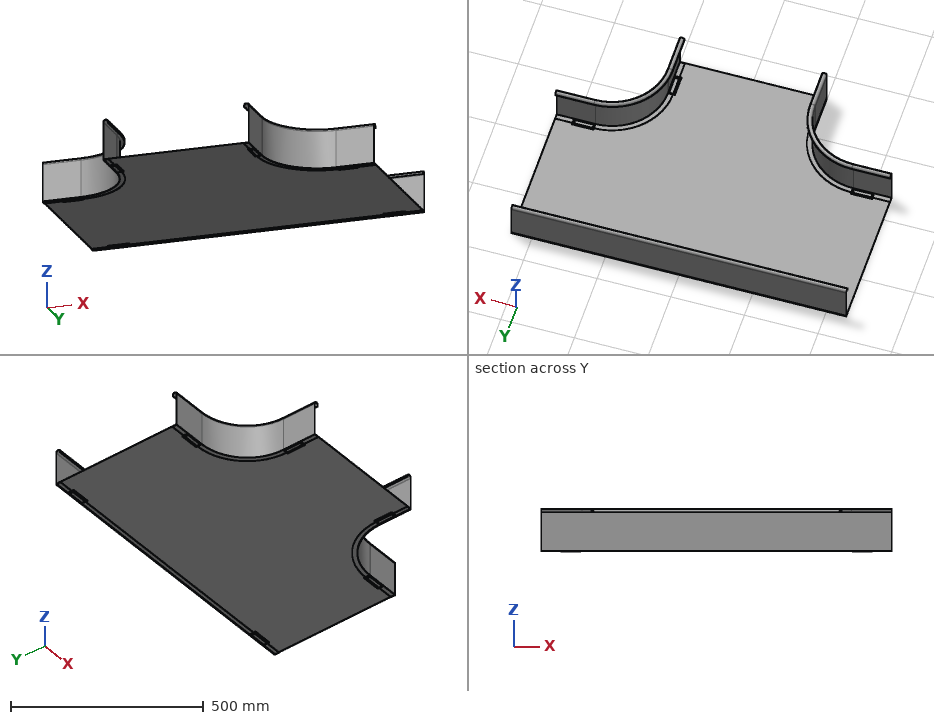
import cadquery as cq
import math

channel_width = 400.0
arm_length = 105.0
bend_radius = 150.0
sheet = 1.2
overall_height = 112.0

curl_radius = 6.8
lip_length = 3.0
flange_width = 15.0

tongue_length = 50.0
tongue_end = 3.0
tongue_step = 3.0
slot_length = 58.0
slot_inner = 4.0
slot_outer = 20.0
tongue_center = 76.0

half_width = channel_width / 2
branch_length = bend_radius + arm_length
end_x = half_width + branch_length
end_y = -end_x
arc_center = half_width + bend_radius
wall_top = overall_height - sheet
floor_top = 2 * sheet
step_foot = slot_outer - tongue_step


class Run:
    """A straight wall run: where it starts, its length, its travel direction and its inward side."""

    def __init__(self, start, length, travel, inward):
        self.start = cq.Vector(*start, 0)
        self.length = length
        self.travel = cq.Vector(*travel, 0)
        self.inward = cq.Vector(*inward, 0)

    def section(self, distance=0.0):
        """Workplane across the run: local x points inward, local y up, normal along the travel."""
        origin = self.start + self.travel * distance
        return cq.Workplane(cq.Plane(origin, self.inward, self.travel))


back_run = Run((end_x, half_width), 2 * end_x, (-1, 0), (0, -1))
through_run = Run((-end_x, -half_width), arm_length, (1, 0), (0, 1))
branch_run = Run((-half_width, -arc_center), arm_length, (0, -1), (1, 0))

back_tongues = [tongue_center, back_run.length - tongue_center]
through_tongues = [tongue_center]
branch_tongues = [arm_length - tongue_center]


def wall_profile(section):
    """Flange under the floor, upright web and a half-round curl ending in a short lip."""
    curl_z = wall_top - curl_radius
    curl_width = 2 * curl_radius
    return (
        section.moveTo(0, 0)
        .lineTo(0, curl_z)
        .threePointArc((curl_radius, wall_top), (curl_width, curl_z))
        .lineTo(curl_width, curl_z - lip_length)
        .lineTo(curl_width - sheet, curl_z - lip_length)
        .lineTo(curl_width - sheet, curl_z)
        .threePointArc((curl_radius, wall_top - sheet), (sheet, curl_z))
        .lineTo(sheet, sheet)
        .lineTo(flange_width, sheet)
        .lineTo(flange_width, 0)
        .close()
    )


def straight_wall(run):
    return wall_profile(run.section()).extrude(run.length)


def curved_wall(run):
    """Quarter turn that carries on from the end of a run, bending away from the channel."""
    profile = wall_profile(run.section(run.length))
    return profile.revolve(90, (-bend_radius, 0), (-bend_radius, -1))


def tongue(run, center):
    """Tab that leaves the slot's outer edge, slopes down past the flange and runs out under it."""
    return (
        run.section(center - tongue_length / 2)
        .moveTo(slot_outer, floor_top)
        .lineTo(step_foot, 0)
        .lineTo(tongue_end, 0)
        .lineTo(tongue_end, -sheet)
        .lineTo(step_foot, -sheet)
        .lineTo(slot_outer, sheet)
        .close()
        .extrude(tongue_length)
    )


def slot(run, center):
    """Block that cuts the opening a tongue is lanced from."""
    return (
        run.section(center - slot_length / 2)
        .moveTo(slot_inner, sheet)
        .lineTo(slot_outer, sheet)
        .lineTo(slot_outer, floor_top)
        .lineTo(slot_inner, floor_top)
        .close()
        .extrude(slot_length)
    )


def make_back_wall():
    return straight_wall(back_run)


def make_corner_wall():
    """Left-hand wall: through-channel arm, quarter bend and branch arm."""
    return straight_wall(through_run).union(curved_wall(through_run)).union(straight_wall(branch_run))


def make_floor():
    """T-shaped sheet that lies on the flanges between the walls, with its tongues."""
    side = half_width - sheet
    arc_mid = arc_center - (bend_radius + sheet) * math.sqrt(0.5)
    floor = (
        cq.Workplane("XY", origin=(0, 0, sheet))
        .moveTo(-end_x, side)
        .lineTo(end_x, side)
        .lineTo(end_x, -side)
        .lineTo(arc_center, -side)
        .threePointArc((arc_mid, -arc_mid), (side, -arc_center))
        .lineTo(side, end_y)
        .lineTo(-side, end_y)
        .lineTo(-side, -arc_center)
        .threePointArc((-arc_mid, -arc_mid), (-arc_center, -side))
        .lineTo(-end_x, -side)
        .close()
        .extrude(sheet)
    )
    for center in back_tongues:
        floor = floor.cut(slot(back_run, center)).union(tongue(back_run, center))
    for run, centers in [(through_run, through_tongues), (branch_run, branch_tongues)]:
        for center in centers:
            left_slot = slot(run, center)
            left_tongue = tongue(run, center)
            floor = floor.cut(left_slot).union(left_tongue)
            floor = floor.cut(left_slot.mirror("YZ")).union(left_tongue.mirror("YZ"))
    return floor


floor = make_floor()
back_wall = make_back_wall()
left_wall = make_corner_wall()
corner_walls = [left_wall, left_wall.mirror("YZ")]

result = cq.Compound.makeCompound(
    [floor.val(), back_wall.val(), *[wall.val() for wall in corner_walls]]
)